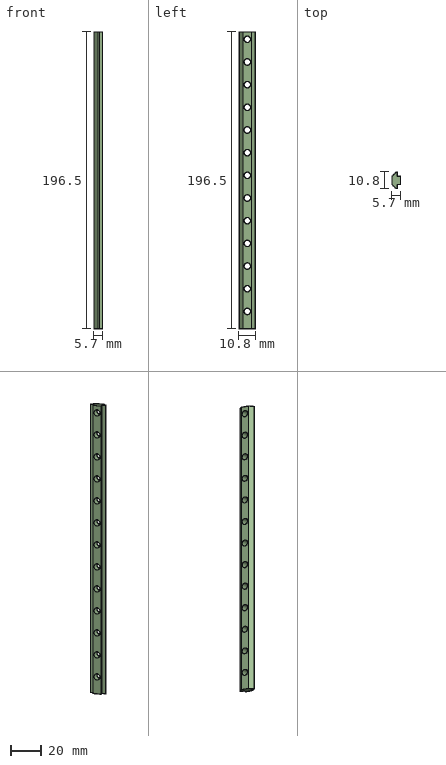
import cadquery as cq

rail_length = 196.5
rail_width = 10.8
rail_depth = 5.7

face_width = 5.5
neck_width = 5.5
flange_depth = 3.5
bevel = (rail_width - face_width) / 2

hole_diameter = 4.1
hole_count = 13
top_hole_margin = 5.0
bottom_hole_margin = 11.5
hole_pitch = (rail_length - top_hole_margin - bottom_hole_margin) / (hole_count - 1)

front_x = -rail_depth / 2
back_x = rail_depth / 2
flange_back_x = front_x + flange_depth
top_z = rail_length / 2


def make_rail():
    """T-section bar with bevelled flanges, standing along Z."""
    half_profile = [
        (front_x, 0),
        (front_x, face_width / 2),
        (front_x + bevel, rail_width / 2),
        (flange_back_x, rail_width / 2),
        (flange_back_x, neck_width / 2),
        (back_x, neck_width / 2),
        (back_x, 0),
    ]
    return (
        cq.Workplane("XY", origin=(0, 0, -rail_length / 2))
        .polyline(half_profile)
        .mirrorX()
        .extrude(rail_length)
    )


def make_hole_cutters():
    """Cylinders along X for the row of holes, counted down from the top."""
    centres = [(0, top_z - top_hole_margin - i * hole_pitch) for i in range(hole_count)]
    return (
        cq.Workplane("YZ", origin=(front_x, 0, 0))
        .pushPoints(centres)
        .circle(hole_diameter / 2)
        .extrude(rail_depth)
    )


rail = make_rail().cut(make_hole_cutters())

result = cq.Compound.makeCompound([rail.val()])